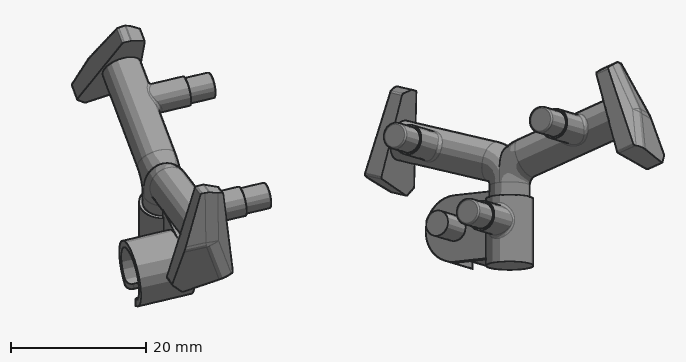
import cadquery as cq
import math

STEM_RADIUS = 3.5
STEM_HEIGHT = 10.02
TUBE_RADIUS = 3.0
ELBOW_START = 12.05
ELBOW_RADIUS = 4.0
ARM_SLOPE = 16.6

PLATE_INNER = 19.4
PLATE_PEAK = 23.15
ROOF_PEAK = (0.15, -0.35)
ROOF_ROUND = 4.0
PLATE_CORNER_ROUND = 0.35
PLATE_OUTLINE = [
    (3.0, 6.6),
    (0.7, 7.6),
    (-0.55, 7.6),
    (-6.4, -6.2),
    (-5.0, -7.7),
    (3.0, -6.25),
]
ROOF_SLOPES = [
    (0.12, 0.065),
    (0.13, -0.13),
    (-0.41, -0.065),
]

PIN_PITCH = 12.6
LOW_PIN_Z = 6.25
PIN_END = 12.0
PIN_STEP = 8.05
PIN_ROOT_RADIUS = 2.25
PIN_TIP_RADIUS = 1.95
PIN_TIP_ROUND = 0.25
PIN_ROOT_ROUND = 0.48
SEAM_MARGIN = 0.25

CLIP_X = 9.5
CLIP_Z = 6.5
CLIP_RADIUS = 5.0
SLEEVE_BORE_RADIUS = 4.0
CLIP_PLATE_THICKNESS = 1.0
CLIP_FRONT = -8.35
SLOT_WIDTH = 3.0
SLOT_CORNER_ROUND = 1.0
BOSS_RADIUS = 1.9
BOSS_BACK = 5.0
BOSS_REACH = 2.38
BOSS_ROUND = 0.45
BOSS_HOLE_RADIUS = 1.05

TOUCHING = 0.0005

slope = math.radians(ARM_SLOPE)
bend = 90 - ARM_SLOPE
arm_origin_z = ELBOW_START + ELBOW_RADIUS * math.tan(math.radians(bend) / 2)
high_pin_z = LOW_PIN_Z + PIN_PITCH
arm_plane = cq.Plane(
    origin=(0, 0, arm_origin_z),
    xDir=(0, 1, 0),
    normal=(math.cos(slope), 0, math.sin(slope)),
)


def y_cylinder(x, z, radius, y_start, y_end):
    """Cylinder along Y between two Y positions."""
    plane = cq.Plane(origin=(x, y_start, z), xDir=(1, 0, 0), normal=(0, 1, 0))
    return cq.Workplane(plane).circle(radius).extrude(y_end - y_start)


def make_arm():
    """Right arm: neck, elbow and straight tube up to the end plate, kept on the +X side."""
    elbow_end_x = ELBOW_RADIUS * (1 - math.sin(slope))
    elbow_end_z = ELBOW_START + ELBOW_RADIUS * math.cos(slope)
    arm_end = (PLATE_INNER * math.cos(slope), arm_origin_z + PLATE_INNER * math.sin(slope))
    path = (
        cq.Workplane("XZ")
        .moveTo(0, STEM_HEIGHT)
        .lineTo(0, ELBOW_START)
        .tangentArcPoint((elbow_end_x, elbow_end_z), relative=False)
        .lineTo(*arm_end)
    )
    tube = cq.Workplane("XY", origin=(0, 0, STEM_HEIGHT)).circle(TUBE_RADIUS).sweep(path)
    reach = 2 * PLATE_PEAK
    return tube.intersect(cq.Workplane("XY").box(reach, reach, 2 * reach, centered=(False, True, True)))


def make_end_plate():
    """End plate: prism along the arm whose outer side is a three-facet rounded roof."""
    span = 2 * PLATE_PEAK
    plate = cq.Workplane("XY", origin=(0, 0, PLATE_INNER)).polyline(PLATE_OUTLINE).close().extrude(span)
    plate = plate.edges("|Z").fillet(PLATE_CORNER_ROUND)
    peak = cq.Vector(*ROOF_PEAK, PLATE_PEAK)
    for across, up in ROOF_SLOPES:
        facet = cq.Plane(origin=peak, xDir=(1, 0, across), normal=(-across, -up, 1))
        plate = plate.cut(cq.Workplane(facet).rect(span, span).extrude(2 * span))
    near_peak = cq.Vertex.makeVertex(*peak.toTuple())
    ridges = [edge for edge in plate.edges().vals() if edge.distance(near_peak) < TOUCHING]
    plate = plate.newObject(ridges).fillet(ROOF_ROUND)
    return cq.Workplane(plate.val().located(cq.Location(arm_plane)))


def make_pin(x, z):
    """Stepped pin with a rounded tip, starting on the Y = 0 plane."""
    root = y_cylinder(x, z, PIN_ROOT_RADIUS, 0, PIN_STEP)
    tip = y_cylinder(x, z, PIN_TIP_RADIUS, PIN_STEP, PIN_END)
    return root.union(tip.faces(">Y").edges().fillet(PIN_TIP_ROUND))


def round_pin_root(body, x, z):
    """Round the seam where a pin grows out of the body."""
    half = PIN_ROOT_RADIUS + SEAM_MARGIN
    y_low = TUBE_RADIUS - PIN_ROOT_RADIUS
    y_high = STEM_RADIUS + SEAM_MARGIN
    seam_box = ((x - half, y_low, z - half), (x + half, y_high, z + half))
    seam = cq.selectors.BoxSelector(*seam_box, boundingbox=True)
    return body.edges(seam).fillet(PIN_ROOT_ROUND)


def make_clip():
    """Side plate with a rounded end, a sleeve slotted underneath and a centre boss."""
    plate_front = -CLIP_PLATE_THICKNESS
    plate = y_cylinder(CLIP_X, CLIP_Z, CLIP_RADIUS, plate_front, 0).union(
        cq.Workplane("XY")
        .box(CLIP_X, CLIP_PLATE_THICKNESS, 2 * CLIP_RADIUS)
        .translate((CLIP_X / 2, plate_front / 2, CLIP_Z))
    )
    slot_length = plate_front - CLIP_FRONT
    slot = cq.Workplane("XY").box(SLOT_WIDTH, slot_length, CLIP_RADIUS, centered=(True, False, False))
    slot = slot.translate((CLIP_X, CLIP_FRONT, CLIP_Z - CLIP_RADIUS))
    sleeve = y_cylinder(CLIP_X, CLIP_Z, CLIP_RADIUS, CLIP_FRONT, plate_front)
    sleeve = sleeve.cut(y_cylinder(CLIP_X, CLIP_Z, SLEEVE_BORE_RADIUS, CLIP_FRONT, plate_front)).cut(slot)
    sleeve = sleeve.faces("<Y").edges("|Z").fillet(SLOT_CORNER_ROUND)
    boss_front = plate_front - BOSS_REACH
    boss = y_cylinder(CLIP_X, CLIP_Z, BOSS_RADIUS, boss_front, BOSS_BACK)
    boss = boss.faces("<Y").edges().fillet(BOSS_ROUND)
    boss = boss.cut(y_cylinder(CLIP_X, CLIP_Z, BOSS_HOLE_RADIUS, boss_front, plate_front))
    return plate.union(sleeve).union(boss)


arm = make_arm().union(make_end_plate())
body = arm.union(arm.mirror("YZ"))
body = body.union(cq.Workplane("XY").circle(STEM_RADIUS).extrude(STEM_HEIGHT))
pin_places = [(0, LOW_PIN_Z), (-PIN_PITCH, high_pin_z), (PIN_PITCH, high_pin_z)]
for pin_x, pin_z in pin_places:
    body = body.union(make_pin(pin_x, pin_z))
    body = round_pin_root(body, pin_x, pin_z)
result = body.union(make_clip())